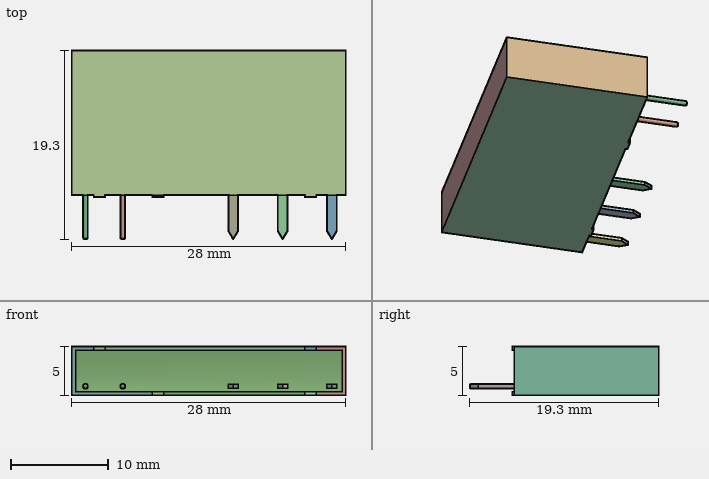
import cadquery as cq

LENGTH = 28.0
HEIGHT = 5.0
TOTAL_DEPTH = 19.3
PIN_REACH = 4.5
HOUSING_DEPTH = TOTAL_DEPTH - PIN_REACH
WALL = 0.4

TAB_LENGTH = 1.18
TAB_REACH = 0.2
LEFT_TOP_TAB_X = 2.83
LEFT_BOTTOM_TAB_X = 8.8
RIGHT_TAB_X = 24.4

FILLER_DEPTH = 1.12
FILLER_SAG = 0.2
OPENING_LENGTH = LENGTH - 2 * WALL
OPENING_HEIGHT = HEIGHT - 2 * WALL

PIN_Z = 0.92
PIN_LENGTH = PIN_REACH + FILLER_DEPTH
ROUND_PIN_X = (1.4, 5.2)
ROUND_PIN_DIAMETER = 0.5
ROUND_TIP_RADIUS = 0.2
FLAT_PIN_X = (16.5, 21.53, 26.57)
FLAT_PIN_WIDTH = 1.0
FLAT_PIN_THICKNESS = 0.4
FLAT_TIP_LENGTH = 0.85


def block(x, y, z, length, depth, height):
    """A box given by its lowest corner and its sizes along X, Y and Z."""
    return cq.Workplane("XY").box(length, depth, height, centered=False).translate((x, y, z))


def make_housing():
    """The box with its filled opening cut out and the tabs added to its rim."""
    housing = block(0, 0, 0, LENGTH, HOUSING_DEPTH, HEIGHT)
    housing = housing.cut(block(WALL, 0, WALL, OPENING_LENGTH, FILLER_DEPTH, OPENING_HEIGHT))
    top_tab_z = HEIGHT - WALL
    tab_places = (
        (LEFT_TOP_TAB_X, top_tab_z),
        (RIGHT_TAB_X, top_tab_z),
        (LEFT_BOTTOM_TAB_X, 0),
        (RIGHT_TAB_X, 0),
    )
    for center_x, z in tab_places:
        tab = block(center_x - TAB_LENGTH / 2, -TAB_REACH, z, TAB_LENGTH, TAB_REACH, WALL)
        housing = housing.union(tab)
    return housing


def make_round_pin(x):
    """A wire pin along Y with a rounded end."""
    radius = ROUND_PIN_DIAMETER / 2
    pin = (
        cq.Workplane("XZ", origin=(x, FILLER_DEPTH, PIN_Z))
        .circle(radius)
        .extrude(PIN_LENGTH)
    )
    return pin.faces("<Y").fillet(ROUND_TIP_RADIUS)


def make_flat_pin(x):
    """A flat blade along Y with a pointed end."""
    half_width = FLAT_PIN_WIDTH / 2
    shoulder_y = FLAT_TIP_LENGTH - PIN_REACH
    return (
        cq.Workplane("XY", origin=(x, 0, PIN_Z - FLAT_PIN_THICKNESS / 2))
        .moveTo(-half_width, FILLER_DEPTH)
        .lineTo(-half_width, shoulder_y)
        .lineTo(0, -PIN_REACH)
        .lineTo(half_width, shoulder_y)
        .lineTo(half_width, FILLER_DEPTH)
        .close()
        .extrude(FLAT_PIN_THICKNESS)
    )


def make_filler(pins):
    """The filler with its hollow front face and a matching hole for every pin."""
    top_z = HEIGHT - WALL
    filler = (
        cq.Workplane("YZ", origin=(WALL, 0, 0))
        .moveTo(FILLER_DEPTH, WALL)
        .lineTo(0, WALL)
        .threePointArc((FILLER_SAG, HEIGHT / 2), (0, top_z))
        .lineTo(FILLER_DEPTH, top_z)
        .close()
        .extrude(OPENING_LENGTH)
    )
    for pin in pins:
        filler = filler.cut(pin)
    return filler


housing = make_housing()
round_pins = [make_round_pin(x) for x in ROUND_PIN_X]
flat_pins = [make_flat_pin(x) for x in FLAT_PIN_X]
pins = round_pins + flat_pins
filler = make_filler(pins)

result = cq.Compound.makeCompound([housing.val(), filler.val(), *[pin.val() for pin in pins]])